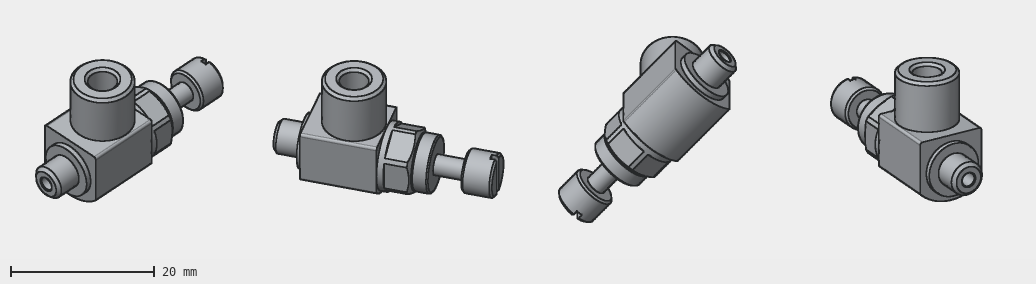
import cadquery as cq
import math


overall_length = 32.0

body_width = 10.0
body_half = body_width / 2
body_front = -6.37
body_back = 4.75
side_bottom_z = -2.9
body_edge_round = 0.4

port_diameter = 9.0
port_top = 12.5
port_chamfer = 0.45
port_bore_diameter = 4.13
port_bore_floor = body_half
port_mouth_diameter = 5.0
cross_hole_diameter = 1.9

flange_diameter = 8.0
flange_front = -7.17
spigot_diameter = 5.0
spigot_front = -11.15
spigot_chamfer = 0.5
spigot_hole_diameter = 2.0
spigot_hole_chamfer = 0.13
spigot_hole_end = spigot_hole_diameter / 2

disc_back = 5.7
hex_across_flats = 9.0
hex_back = 9.47
hex_chamfer_radial = 0.83
hex_chamfer_length = 0.48

collar_front = hex_back
collar_back = 11.9
collar_diameter = 8.4
collar_chamfer = 0.22
stem_diameter = 3.0
knob_diameter = 6.4
knob_front = 16.4
knob_back = spigot_front + overall_length
knob_chamfer = 0.32
slot_width = 0.9
slot_depth = 1.0


def rod(diameter, start_y, end_y):
    """Cylinder on the screw axis."""
    plane = cq.Plane(origin=(0, start_y, 0), xDir=(1, 0, 0), normal=(0, 1, 0))
    return cq.Workplane(plane).circle(diameter / 2).extrude(end_y - start_y)


def upright(diameter, bottom_z, top_z):
    """Cylinder on the port axis."""
    return cq.Workplane("XY", origin=(0, 0, bottom_z)).circle(diameter / 2).extrude(top_z - bottom_z)


def make_body():
    return (
        cq.Workplane("XZ", origin=(0, body_back, 0))
        .moveTo(-body_half, side_bottom_z)
        .lineTo(-body_half, body_half)
        .lineTo(body_half, body_half)
        .lineTo(body_half, side_bottom_z)
        .threePointArc((0, -body_half), (-body_half, side_bottom_z))
        .close()
        .extrude(body_back - body_front)
        .edges("|Y")
        .fillet(body_edge_round)
    )


def make_hex_nut():
    corner_radius = hex_across_flats / math.sqrt(3)
    corners = [
        (corner_radius * math.sin(math.radians(angle)), corner_radius * math.cos(math.radians(angle)))
        for angle in range(0, 360, 60)
    ]
    prism = cq.Workplane("XZ", origin=(0, hex_back, 0)).polyline(corners).close().extrude(hex_back - disc_back)
    turned_envelope = (
        rod(body_width, disc_back, hex_back).faces(">Y").chamfer(hex_chamfer_length, hex_chamfer_radial)
    )
    return prism.intersect(turned_envelope)


def make_knob():
    knob = rod(knob_diameter, knob_front, knob_back).faces("<Y or >Y").chamfer(knob_chamfer)
    slot = cq.Workplane("XY").box(slot_width, 2 * slot_depth, 2 * knob_diameter)
    return knob.cut(slot.translate((0, knob_back, 0)))


def make_screw_side():
    disc = rod(body_width, body_back, disc_back)
    collar = rod(collar_diameter, collar_front, collar_back).faces("<Y or >Y").chamfer(collar_chamfer)
    stem = rod(stem_diameter, disc_back, knob_front)
    return disc.union(make_hex_nut()).union(collar).union(stem).union(make_knob())


def make_spigot():
    flange = rod(flange_diameter, flange_front, body_front)
    pin = rod(spigot_diameter, spigot_front, body_front).faces("<Y").chamfer(spigot_chamfer)
    return flange.union(pin)


def make_port_boss():
    return upright(port_diameter, 0, port_top).faces(">Z").chamfer(port_chamfer)


def cut_bores(part):
    mouth_chamfer = (port_mouth_diameter - port_bore_diameter) / 2
    part = part.cut(upright(port_bore_diameter, port_bore_floor, port_top))
    part = part.faces(">Z").edges("%CIRCLE").edges(cq.selectors.RadiusNthSelector(0)).chamfer(mouth_chamfer)
    part = part.cut(upright(cross_hole_diameter, 0, port_bore_floor))
    part = part.cut(rod(spigot_hole_diameter, spigot_front, spigot_hole_end))
    mouth = part.faces("<Y").edges(cq.selectors.RadiusNthSelector(0))
    return mouth.chamfer(spigot_hole_chamfer)


solid = make_body().union(make_screw_side()).union(make_spigot()).union(make_port_boss())
result = cut_bores(solid)